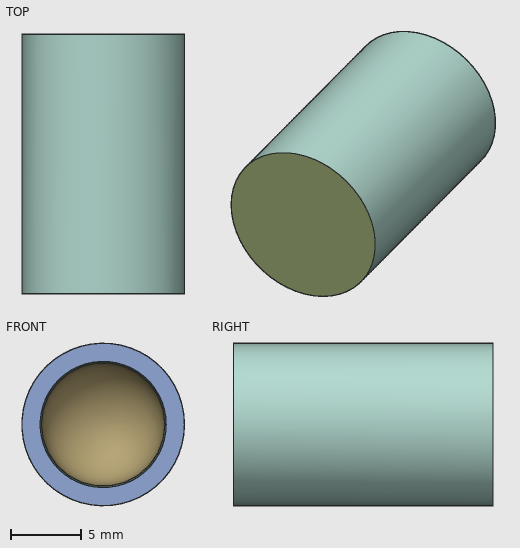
import cadquery as cq
import math

length = 18.5
outer_diameter = 11.6

mouth_diameter = 9.0
bore_end_diameter = 8.75


outer_radius = outer_diameter / 2
mouth_radius = mouth_diameter / 2
end_wall = outer_radius - mouth_radius
dome_radius = bore_end_diameter / 2

mouth_y = -length / 2
dome_tip_y = length / 2 - end_wall
dome_center_y = dome_tip_y - dome_radius
dome_mid_offset = dome_radius * math.sqrt(0.5)


def make_body():
    """Solid cylinder centred on the origin, with its axis along Y."""
    return cq.Workplane("XZ").workplane(offset=-length / 2).circle(outer_radius).extrude(length)


def make_bore():
    """Tapered bore and domed end, revolved about the Y axis."""
    return (
        cq.Workplane("XY")
        .moveTo(0, mouth_y)
        .lineTo(mouth_radius, mouth_y)
        .lineTo(dome_radius, dome_center_y)
        .threePointArc((dome_mid_offset, dome_center_y + dome_mid_offset), (0, dome_tip_y))
        .close()
        .revolve(360, (0, 0, 0), (0, 1, 0))
    )


result = make_body().cut(make_bore())